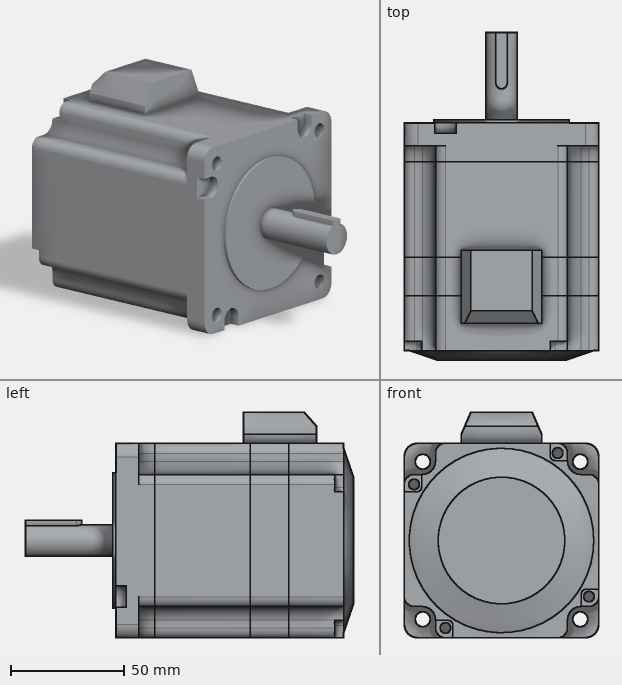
import cadquery as cq


FRAME_WIDTH = 86.0
HALF_WIDTH = FRAME_WIDTH / 2
FLANGE_CORNER_RADIUS = 6.0
RELIEF_WALL = 29.1
RELIEF_INNER_RADIUS = 6.0
RELIEF_EDGE_RADIUS = 4.4

FLANGE_THICKNESS = 10.2
FRONT_CAP_END = 17.1
STATOR_END = 59.3
REAR_SECTION_END = 76.4
REAR_FACE = 100.6

BOSS_RADIUS = 30.0
BOSS_HEIGHT = 1.5
MOUNT_HOLE_OFFSET = 34.8
MOUNT_HOLE_DIAMETER = 6.5
HEAD_RECESS_WIDTH = 9.5
HEAD_RECESS_DEPTH = 4.5

DOME_HEIGHT = 4.4
DOME_BASE_RADIUS = 40.7
DOME_TOP_RADIUS = 28.0
POCKET_WIDTH = 7.7
POCKET_DEPTH = 4.0
POCKET_CORNER_RADIUS = 2.2
SCREW_HOLE_DIAMETER = 4.6

SCREW_SIDE_OFFSET = RELIEF_WALL - RELIEF_EDGE_RADIUS
SCREW_EDGE_OFFSET = HALF_WIDTH - RELIEF_EDGE_RADIUS

SHAFT_DIAMETER = 14.0
OVERALL_LENGTH = 145
SHAFT_TIP = OVERALL_LENGTH - REAR_FACE - DOME_HEIGHT
KEY_WIDTH = 5.0
KEY_LENGTH = 25.0
KEY_TOP = 9.0

OVERALL_HEIGHT = 99.8
CONNECTOR_TOP = OVERALL_HEIGHT - HALF_WIDTH
CONNECTOR_SHOULDER = 46.8
CONNECTOR_BASE_WIDTH = 35.7
CONNECTOR_TOP_WIDTH = 27.1
CONNECTOR_FRONT = 56.3
CONNECTOR_LENGTH = 32.3
CONNECTOR_SLOPE_LENGTH = 5.5
CONNECTOR_SLOPE_HEIGHT = 6.2

QUARTER_TURNS = (0, 90, 180, 270)


def plane_at(distance):
    """XZ plane at a distance behind the mounting face, with its normal to the rear."""
    return cq.Workplane("XZ", origin=(0, -distance, 0))


def around_axis(shape):
    """Four copies of a shape at quarter turns about the motor axis."""
    return [shape.rotate((0, 0, 0), (0, 1, 0), angle) for angle in QUARTER_TURNS]


def cut_around_axis(body, cutter):
    for copy in around_axis(cutter):
        body = body.cut(copy)
    return body


def square_block(start, end):
    return plane_at(start).rect(FRAME_WIDTH, FRAME_WIDTH).extrude(end - start)


def corner_relief(start, end):
    """Cutter for the +X +Z corner: rounded inner corner, flared out to both side faces."""
    inner = RELIEF_WALL + RELIEF_INNER_RADIUS
    flare = RELIEF_EDGE_RADIUS
    diagonal = 0.5 ** 0.5
    arc_mid = inner - RELIEF_INNER_RADIUS * diagonal
    flare_side = SCREW_SIDE_OFFSET + flare * diagonal
    flare_edge = SCREW_EDGE_OFFSET + flare * diagonal
    return (
        plane_at(start)
        .moveTo(SCREW_SIDE_OFFSET, HALF_WIDTH)
        .threePointArc((flare_side, flare_edge), (RELIEF_WALL, SCREW_EDGE_OFFSET))
        .lineTo(RELIEF_WALL, inner)
        .threePointArc((arc_mid, arc_mid), (inner, RELIEF_WALL))
        .lineTo(SCREW_EDGE_OFFSET, RELIEF_WALL)
        .threePointArc((flare_edge, flare_side), (HALF_WIDTH, SCREW_SIDE_OFFSET))
        .lineTo(HALF_WIDTH, HALF_WIDTH)
        .close()
        .extrude(end - start)
    )


def relieved_section(start, end):
    return cut_around_axis(square_block(start, end), corner_relief(start, end))


def make_front_cap():
    cap = square_block(0, FRONT_CAP_END).edges("|Y").fillet(FLANGE_CORNER_RADIUS)
    cap = cut_around_axis(cap, corner_relief(FLANGE_THICKNESS, FRONT_CAP_END))
    boss = plane_at(0).circle(BOSS_RADIUS).extrude(-BOSS_HEIGHT)
    cap = cap.union(boss)
    mount_hole = (
        plane_at(0)
        .center(MOUNT_HOLE_OFFSET, MOUNT_HOLE_OFFSET)
        .circle(MOUNT_HOLE_DIAMETER / 2)
        .extrude(FLANGE_THICKNESS)
    )
    cap = cut_around_axis(cap, mount_hole)
    return cut_around_axis(cap, head_recess())


def head_recess():
    """U-shaped screw head recess in the mounting face, open through the top side."""
    radius = HEAD_RECESS_WIDTH / 2
    left = -SCREW_SIDE_OFFSET - radius
    right = -SCREW_SIDE_OFFSET + radius
    return (
        plane_at(0)
        .moveTo(left, HALF_WIDTH)
        .lineTo(left, SCREW_EDGE_OFFSET)
        .threePointArc((-SCREW_SIDE_OFFSET, SCREW_EDGE_OFFSET - radius), (right, SCREW_EDGE_OFFSET))
        .lineTo(right, HALF_WIDTH)
        .close()
        .extrude(HEAD_RECESS_DEPTH)
    )


def make_rear_cover():
    cover = relieved_section(REAR_SECTION_END, REAR_FACE)
    cover = cut_around_axis(cover, screw_pocket())
    dome = (
        cq.Workplane("XY")
        .moveTo(0, -REAR_FACE)
        .lineTo(DOME_BASE_RADIUS, -REAR_FACE)
        .lineTo(DOME_TOP_RADIUS, -REAR_FACE - DOME_HEIGHT)
        .lineTo(0, -REAR_FACE - DOME_HEIGHT)
        .close()
        .revolve(360, (0, 0, 0), (0, 1, 0))
    )
    return cover.union(dome)


def screw_pocket():
    """Pocket at the rear end of a relief edge, with the tie screw hole in its floor."""
    left = RELIEF_WALL - POCKET_WIDTH
    bottom = HALF_WIDTH - POCKET_WIDTH
    pocket = (
        plane_at(REAR_FACE - POCKET_DEPTH)
        .moveTo(left, bottom)
        .lineTo(RELIEF_WALL, bottom)
        .lineTo(RELIEF_WALL, HALF_WIDTH)
        .lineTo(left, HALF_WIDTH)
        .close()
        .extrude(POCKET_DEPTH)
        .edges("|Y and <X and <Z")
        .fillet(POCKET_CORNER_RADIUS)
    )
    hole = (
        plane_at(REAR_SECTION_END)
        .center(SCREW_SIDE_OFFSET, SCREW_EDGE_OFFSET)
        .circle(SCREW_HOLE_DIAMETER / 2)
        .extrude(REAR_FACE - REAR_SECTION_END)
    )
    return pocket.union(hole)


def make_shaft():
    """Round shaft standing on the boss, with a key that is flush with its tip."""
    shaft = plane_at(-SHAFT_TIP).circle(SHAFT_DIAMETER / 2).extrude(SHAFT_TIP - BOSS_HEIGHT)
    radius = KEY_WIDTH / 2
    key_end = SHAFT_TIP - KEY_LENGTH
    key = (
        cq.Workplane("XY")
        .moveTo(-radius, SHAFT_TIP)
        .lineTo(-radius, key_end + radius)
        .threePointArc((0, key_end), (radius, key_end + radius))
        .lineTo(radius, SHAFT_TIP)
        .close()
        .extrude(KEY_TOP)
    )
    return shaft.union(key)


def make_connector():
    """Block with tapered flanks and a sloped upper rear edge."""
    base_half = CONNECTOR_BASE_WIDTH / 2
    top_half = CONNECTOR_TOP_WIDTH / 2
    block = (
        plane_at(CONNECTOR_FRONT)
        .moveTo(-base_half, HALF_WIDTH)
        .lineTo(base_half, HALF_WIDTH)
        .lineTo(base_half, CONNECTOR_SHOULDER)
        .lineTo(top_half, CONNECTOR_TOP)
        .lineTo(-top_half, CONNECTOR_TOP)
        .lineTo(-base_half, CONNECTOR_SHOULDER)
        .close()
        .extrude(CONNECTOR_LENGTH)
    )
    rear = -CONNECTOR_FRONT - CONNECTOR_LENGTH
    slope = (
        cq.Workplane("YZ")
        .moveTo(rear, CONNECTOR_TOP)
        .lineTo(rear + CONNECTOR_SLOPE_LENGTH, CONNECTOR_TOP)
        .lineTo(rear, CONNECTOR_TOP - CONNECTOR_SLOPE_HEIGHT)
        .close()
        .extrude(base_half, both=True)
    )
    return block.cut(slope)


front_cap = make_front_cap()
stator = relieved_section(FRONT_CAP_END, STATOR_END)
rear_section = relieved_section(STATOR_END, REAR_SECTION_END)
rear_cover = make_rear_cover()
shaft = make_shaft()
connector = make_connector()

result = cq.Compound.makeCompound([
    front_cap.val(),
    stator.val(),
    rear_section.val(),
    rear_cover.val(),
    shaft.val(),
    connector.val(),
])